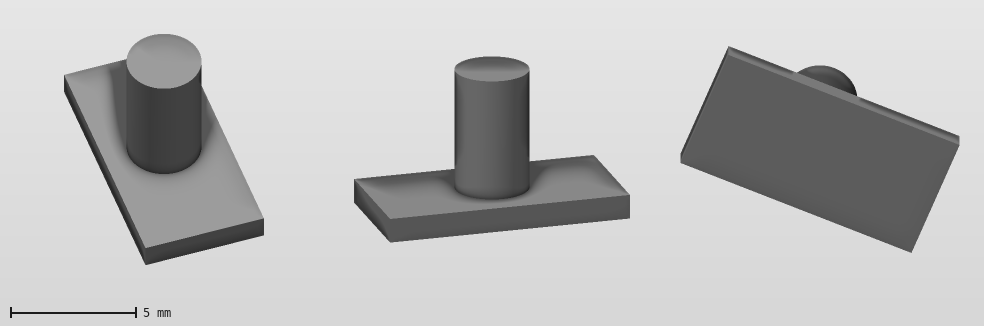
import cadquery as cq

plate_length = 10
plate_width = 5
plate_thickness = 1

pin_diameter = 3
pin_height = 5

plate = cq.Workplane("XY").box(
    plate_length, plate_width, plate_thickness, centered=(True, True, False)
)

result = plate.faces(">Z").workplane().circle(pin_diameter / 2).extrude(pin_height)